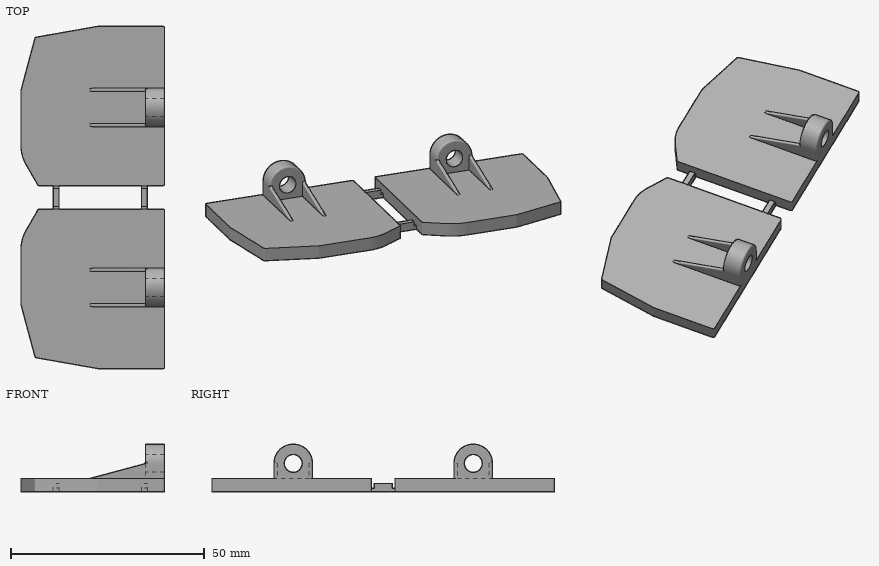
import cadquery as cq
import math

plate_length = 37.18
plate_thickness = 3.5
half_span = 44.25
half_gap = 3.0

outer_edge_length = 17.2
outer_taper_angle = 10.0
front_corner_x = -33.48
side_taper_angle = 15.0
inner_taper_angle = 30.0
inner_blend_radius = 10.0
inner_blend_start_y = 13.5
corner_radius = 0.5
shallow_corner_radius = 1.0

lug_center_y = 23.25
lug_radius = 5.0
lug_thickness = 5.0
lug_center_z = 7.35
lug_hole_diameter = 4.55
lug_edge_radius = 0.4

rib_thickness = 0.9
rib_angle = 15.0
rib_toe_x = -19.3
rib_blend_radius = 0.5
rib_edge_radius = 0.25

bar_width = 1.5
bar_center_xs = (-28.05, -5.25)
bar_end_height = 1.0
bar_middle_height = 2.2
bar_middle_half_length = 2.35


def tangent(angle):
    """Tangent of an angle in degrees."""
    return math.tan(math.radians(angle))


def round_corners(plate, corners, radius):
    """Round the upright edges of the plate at the given XY corners."""
    for corner_x, corner_y in corners:
        edge = cq.selectors.NearestToPointSelector((corner_x, corner_y, plate_thickness / 2))
        plate = plate.edges(edge).fillet(radius)
    return plate


def make_plate():
    """Flat plate with tapered outer corners and a rounded inner front corner."""
    front_x = -plate_length
    front_corner_y = half_span + (front_corner_x + outer_edge_length) * tangent(outer_taper_angle)
    side_corner_y = front_corner_y - (front_corner_x - front_x) / tangent(side_taper_angle)

    inner_corner_y = inner_blend_start_y - inner_blend_radius * tangent(inner_taper_angle / 2)
    inner_end_x = front_x + (inner_corner_y - half_gap) * tangent(inner_taper_angle)

    plate = (
        cq.Workplane("XY")
        .moveTo(0, half_gap)
        .lineTo(0, half_span)
        .lineTo(-outer_edge_length, half_span)
        .lineTo(front_corner_x, front_corner_y)
        .lineTo(front_x, side_corner_y)
        .lineTo(front_x, inner_corner_y)
        .lineTo(inner_end_x, half_gap)
        .close()
        .extrude(plate_thickness)
    )
    blend_corner = (front_x, inner_corner_y)
    sharp_corners = (
        (0, half_gap),
        (0, half_span),
        (front_corner_x, front_corner_y),
        (inner_end_x, half_gap),
    )
    shallow_corners = (
        (-outer_edge_length, half_span),
        (front_x, side_corner_y),
    )
    plate = round_corners(plate, (blend_corner,), inner_blend_radius)
    plate = round_corners(plate, sharp_corners, corner_radius)
    return round_corners(plate, shallow_corners, shallow_corner_radius)


def make_lug():
    """Upright lug with a round top and rounded rims, without its hole."""
    height = lug_center_z - plate_thickness
    block = (
        cq.Workplane("YZ", origin=(-lug_thickness, lug_center_y, lug_center_z))
        .moveTo(-lug_radius, -height)
        .lineTo(-lug_radius, 0)
        .threePointArc((0, lug_radius), (lug_radius, 0))
        .lineTo(lug_radius, -height)
        .close()
        .extrude(lug_thickness)
    )
    rims = block.faces("<X or >X").edges("not <Z")
    return rims.fillet(lug_edge_radius)


def make_rib(outer_y):
    """Sloping rib rising from the plate and curving up into the lug, from outer_y towards +Y."""
    front_x = -lug_thickness
    rear_x = front_x + lug_edge_radius
    slope_top_z = plate_thickness + (front_x - rib_toe_x) * tangent(rib_angle)

    blend_reach = rib_blend_radius * tangent((90 - rib_angle) / 2)
    blend_start_x = front_x - blend_reach * math.cos(math.radians(rib_angle))
    blend_start_z = slope_top_z - blend_reach * math.sin(math.radians(rib_angle))
    top_z = slope_top_z + blend_reach

    rib = (
        cq.Workplane("XZ", origin=(0, outer_y, 0))
        .moveTo(rib_toe_x, plate_thickness)
        .lineTo(blend_start_x, blend_start_z)
        .tangentArcPoint((front_x, top_z), relative=False)
        .lineTo(rear_x, top_z)
        .lineTo(rear_x, plate_thickness)
        .close()
        .extrude(-rib_thickness)
    )
    sloping_edges = rib.edges("not (|X or |Y or |Z)")
    return sloping_edges.fillet(rib_edge_radius)


def make_bar(center_x):
    """Low bar between the plates with a raised middle."""
    base = cq.Workplane("XY").center(center_x, 0).rect(bar_width, 2 * half_gap).extrude(bar_end_height)
    middle = (
        cq.Workplane("XY")
        .center(center_x, 0)
        .rect(bar_width, 2 * bar_middle_half_length)
        .extrude(bar_middle_height)
    )
    return base.union(middle)


def make_half():
    """One plate with its lug, ribs and hinge hole."""
    half = make_plate().union(make_lug())
    for outer_y in (lug_center_y - lug_radius, lug_center_y + lug_radius - rib_thickness):
        half = half.union(make_rib(outer_y))
    hole = (
        cq.Workplane("YZ", origin=(-lug_thickness, lug_center_y, lug_center_z))
        .circle(lug_hole_diameter / 2)
        .extrude(lug_thickness)
    )
    return half.cut(hole)


half = make_half()
result = half.union(half.mirror("XZ"))
for bar_center_x in bar_center_xs:
    result = result.union(make_bar(bar_center_x))